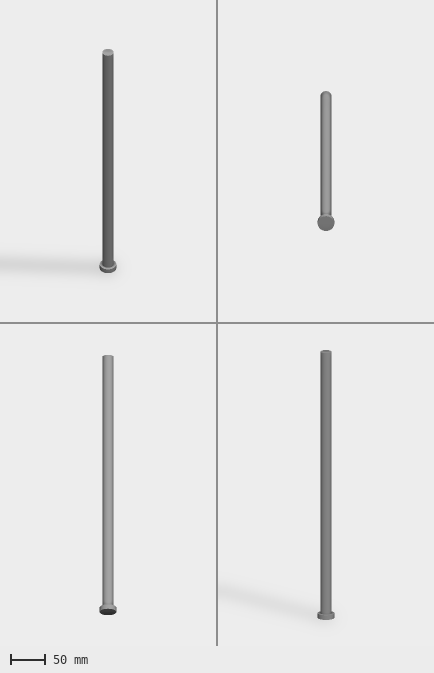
import cadquery as cq

total_length = 400.0
head_diameter = 24.0
head_height = 7.0
shaft_diameter = 16.0


def make_head():
    return cq.Workplane("XY").circle(head_diameter / 2).extrude(head_height)


def add_shaft(head):
    shaft_length = total_length - head_height
    return head.faces(">Z").workplane().circle(shaft_diameter / 2).extrude(shaft_length)


result = add_shaft(make_head())